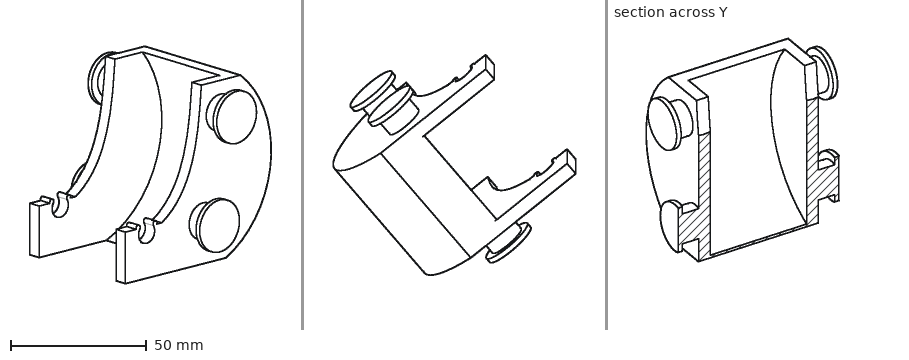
import cadquery as cq
import math

body_width = 52.1
plate_thickness = 5.1
body_depth = 73.1
body_height = 68.75

back_radius = 40.95
back_center_z = 36.7
back_center_y = body_depth - back_radius

cavity_radius = 44.25
cavity_center_y = 17.25
cavity_center_z = 41.1

arm_height = 19.8
throat_top_y = 38.0
throat_bottom_y = 18.1
throat_points = [(34.1, 42.35), (28.15, 29.25)]

seat_y = 10.6
seat_z = 17.5
seat_radius = 4.0
lip_radius = 1.0
lip_offset_y = 4.25

pin_centers = [(47.45, 56.45), (38.9, 16.45)]
pin_diameter = 14.0
flange_diameter = 20.0
flange_thickness = 2.0
overall_width = 70.0


def across(start_x):
    """Sketch plane at start_x with local axes Y and Z, extruding along +X."""
    return cq.Workplane("YZ", origin=(start_x, 0, 0))


def rear_arc_y(center_y, center_z, radius, z):
    """Y of the rear half of a circle at height z."""
    return center_y + math.sqrt(radius**2 - (z - center_z) ** 2)


def make_blank():
    """Full-width block with the outline of the side plates."""
    top_y = rear_arc_y(back_center_y, back_center_z, back_radius, body_height)
    bottom_y = rear_arc_y(back_center_y, back_center_z, back_radius, 0)
    return (
        across(-body_width / 2)
        .moveTo(0, 0)
        .lineTo(0, arm_height)
        .lineTo(throat_bottom_y, arm_height)
        .spline(throat_points[::-1] + [(throat_top_y, body_height)], includeCurrent=True)
        .lineTo(top_y, body_height)
        .threePointArc((body_depth, back_center_z), (bottom_y, 0))
        .close()
        .extrude(body_width)
    )


def make_cavity():
    """Space between the plates, in front of the back wall."""
    top_y = rear_arc_y(cavity_center_y, cavity_center_z, cavity_radius, body_height)
    bottom_y = rear_arc_y(cavity_center_y, cavity_center_z, cavity_radius, 0)
    inner_width = body_width - 2 * plate_thickness
    return (
        across(-inner_width / 2)
        .moveTo(0, 0)
        .lineTo(0, body_height)
        .lineTo(top_y, body_height)
        .threePointArc((cavity_center_y + cavity_radius, cavity_center_z), (bottom_y, 0))
        .close()
        .extrude(inner_width)
    )


def add_clip_seat(body):
    """Cut the round seat and its mouth, then add a rounded lip on each side."""
    center_distance = seat_radius + lip_radius
    lip_rise = math.sqrt(center_distance**2 - lip_offset_y**2)
    mouth_bottom = seat_z + lip_rise * seat_radius / center_distance
    mouth_height = 2 * lip_radius

    seat = across(-body_width / 2).center(seat_y, seat_z).circle(seat_radius).extrude(body_width)
    mouth = (
        across(-body_width / 2)
        .center(seat_y, mouth_bottom + mouth_height / 2)
        .rect(2 * lip_offset_y, mouth_height)
        .extrude(body_width)
    )
    lips = (
        across(-body_width / 2)
        .pushPoints([(seat_y + side * lip_offset_y, seat_z + lip_rise) for side in (-1, 1)])
        .circle(lip_radius)
        .extrude(body_width)
    )
    return body.cut(seat).cut(mouth).union(lips)


def make_right_pins():
    """Pins with end flanges on the +X plate."""
    pin_length = (overall_width - body_width) / 2
    flange_start = overall_width / 2 - flange_thickness
    pins = across(body_width / 2).pushPoints(pin_centers).circle(pin_diameter / 2).extrude(pin_length)
    flanges = (
        across(flange_start).pushPoints(pin_centers).circle(flange_diameter / 2).extrude(flange_thickness)
    )
    return pins.union(flanges)


right_pins = make_right_pins()
body = add_clip_seat(make_blank()).cut(make_cavity())
result = body.union(right_pins).union(right_pins.mirror("YZ"))